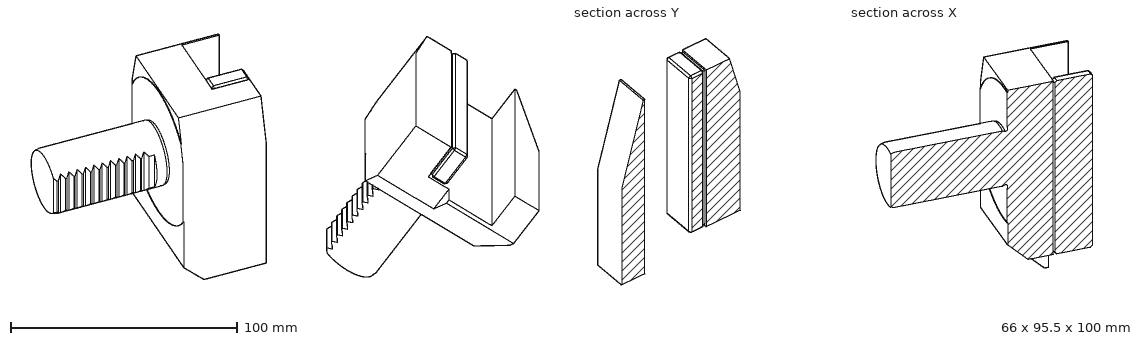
import cadquery as cq
import math


LEFT, RIGHT = -38.0, 28.0
TOP, BOTTOM = 35.0, -65.0
BACK = 40.0
TOP_LEFT, TOP_RIGHT = -26.0, 22.0
SIDE_TAPER = math.radians(15)
NOTCH_X, NOTCH_Z = -2.0, -55.0
BOTTOM_CHAMFER = 20.0
SIDE_CHAMFER_X, SIDE_CHAMFER_Y = 8.0, 16.8

SEAT_RADIUS = 34.0
SEAT_HEIGHT = 0.3

SLOT_LEFT, SLOT_RIGHT = -25.0, 9.0
SLOT_FLOOR = 22.0

BAR_LEFT, BAR_RIGHT = 0.0, 8.0
BAR_THICKNESS = 18.0
BAR_STANDOUT = 0.5
BAR_BACK = BACK + BAR_STANDOUT
BAR_FRONT = BAR_BACK - BAR_THICKNESS
BAR_TOP, BAR_BOTTOM = TOP, NOTCH_Z
BAR_CHAMFER = 1.0

SHANK_RADIUS = 15.0
SHANK_LENGTH = 55.0
END_CHAMFER_LENGTH = 2.0
END_CHAMFER_ANGLE = math.radians(15)
END_CHAMFER_DEPTH = END_CHAMFER_LENGTH * math.tan(END_CHAMFER_ANGLE)
NECK_RADIUS = 29.1 / 2
NECK_FILLET = 0.7
NECK_END, TAPER_END = 0.9, 2.2

GROOVE_MOUTH_RADIUS = 16.5
GROOVE_FLOOR_RADIUS = 15.8
GROOVE_DEPTH = 0.2

FLAT_X = 12.0
FLAT_START = 7.0
TOOTH_PITCH = 4.0
TOOTH_DEPTH = 1.7
FIRST_VALLEY = 11.4
VALLEY_COUNT = 12


def box_between(x0, x1, y0, y1, z0, z1):
    return cq.Workplane("XY").box(x1 - x0, y1 - y0, z1 - z0, centered=False).translate((x0, y0, z0))


def head_block():
    left_drop = (TOP_LEFT - LEFT) / math.tan(SIDE_TAPER)
    right_drop = (RIGHT - TOP_RIGHT) / math.tan(SIDE_TAPER)
    outline = [
        (TOP_LEFT, TOP),
        (TOP_RIGHT, TOP),
        (RIGHT, TOP - right_drop),
        (RIGHT, NOTCH_Z),
        (NOTCH_X, NOTCH_Z),
        (NOTCH_X, BOTTOM),
        (LEFT, BOTTOM),
        (LEFT, TOP - left_drop),
    ]
    block = cq.Workplane("XZ").polyline(outline).close().extrude(-BACK)

    bottom_corner = [(0, BOTTOM), (BOTTOM_CHAMFER, BOTTOM), (0, BOTTOM + BOTTOM_CHAMFER)]
    bottom_plane = cq.Workplane("YZ", origin=(LEFT, 0, 0))
    bottom_wedge = bottom_plane.polyline(bottom_corner).close().extrude(RIGHT - LEFT)

    side_corner = [(LEFT, 0), (LEFT + SIDE_CHAMFER_X, 0), (LEFT, SIDE_CHAMFER_Y)]
    side_plane = cq.Workplane("XY", origin=(0, 0, BOTTOM))
    side_wedge = side_plane.polyline(side_corner).close().extrude(TOP - BOTTOM)

    slot = box_between(SLOT_LEFT, SLOT_RIGHT, SLOT_FLOOR, BACK, BOTTOM, TOP)
    return block.cut(bottom_wedge).cut(side_wedge).cut(slot)


def seat_relief():
    """Thin layer taken off the front face everywhere outside the round seat."""
    layer = box_between(LEFT, RIGHT, 0, SEAT_HEIGHT, BOTTOM, TOP)
    seat = cq.Workplane("XZ").circle(SEAT_RADIUS).extrude(-SEAT_HEIGHT)
    return layer.cut(seat)


def ring_groove():
    profile = [
        (0, 0),
        (GROOVE_MOUTH_RADIUS, 0),
        (GROOVE_FLOOR_RADIUS, GROOVE_DEPTH),
        (0, GROOVE_DEPTH),
    ]
    return cq.Workplane("XY").polyline(profile).close().revolve(360, (0, 0), (0, 1))


def clamping_bar():
    """Chamfered bar with a web that joins the flat of its right side to the slot wall."""
    bar = box_between(BAR_LEFT, BAR_RIGHT, BAR_FRONT, BAR_BACK, BAR_BOTTOM, BAR_TOP)
    bar = bar.edges().chamfer(BAR_CHAMFER)
    web = box_between(
        BAR_RIGHT - BAR_CHAMFER,
        SLOT_RIGHT,
        BAR_FRONT + BAR_CHAMFER,
        BAR_BACK - BAR_CHAMFER,
        BAR_BOTTOM + BAR_CHAMFER,
        BAR_TOP - BAR_CHAMFER,
    )
    return bar.union(web)


def shank():
    profile = (
        cq.Workplane("XY")
        .moveTo(0, GROOVE_DEPTH)
        .lineTo(NECK_RADIUS + NECK_FILLET, GROOVE_DEPTH)
        .radiusArc((NECK_RADIUS, GROOVE_DEPTH - NECK_FILLET), -NECK_FILLET)
        .lineTo(NECK_RADIUS, -NECK_END)
        .lineTo(SHANK_RADIUS, -TAPER_END)
        .lineTo(SHANK_RADIUS, END_CHAMFER_LENGTH - SHANK_LENGTH)
        .lineTo(SHANK_RADIUS - END_CHAMFER_DEPTH, -SHANK_LENGTH)
        .lineTo(0, -SHANK_LENGTH)
        .close()
    )
    body = profile.revolve(360, (0, 0), (0, 1))
    flat = box_between(FLAT_X, SHANK_RADIUS, -SHANK_LENGTH, -FLAT_START, -SHANK_RADIUS, SHANK_RADIUS)
    body = body.cut(flat)
    for index in range(VALLEY_COUNT):
        valley_y = -FIRST_VALLEY - index * TOOTH_PITCH
        valley = [
            (FLAT_X - TOOTH_DEPTH, valley_y),
            (FLAT_X, valley_y + TOOTH_DEPTH),
            (FLAT_X, valley_y - TOOTH_DEPTH),
        ]
        groove = cq.Workplane("XY").polyline(valley).close().extrude(SHANK_RADIUS, both=True)
        body = body.cut(groove)
    return body


result = head_block().cut(seat_relief()).cut(ring_groove()).union(clamping_bar()).union(shank())